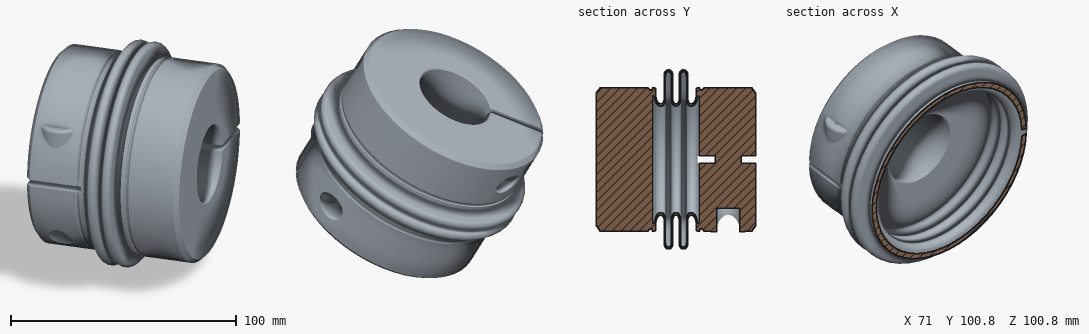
import cadquery as cq
import math


profile_plane = cq.Plane(origin=(0, 0, 0), xDir=(1, 0, 0), normal=(0, 1, 0))

half_length = 35.5
lobe_radius = 50.4

hub_radius = 89.0 / 2
hub_chamfer = 2.0
bore_radius = 17.4
bore_chamfer = 0.5
hub_inner_face = 10.2

groove_start = 12.5
groove_chamfer_end = 11.8
groove_end = 10.6
groove_radius = 43.9
groove_sag = 0.15

flange_seam = 9.6
collar_radius = 88.6 / 2
wall = 0.8
lobe_round = 2.0
lobe_pitch = 6.7
lobe_x = lobe_pitch / 2
trough_radius = 39.6
trough_round = lobe_pitch / 2 - lobe_round
end_trough_x = lobe_x + lobe_round + trough_round
end_round = flange_seam - wall - end_trough_x

screw_x = -23.1
screw_y = -32.1
head_radius = 18.0 / 2
head_top = 25.2
head_height = 12.0
head_fillet = 1.3
socket_flats = 10.0
socket_depth = 6.0
shank_radius = 12.0 / 2
thread_hole_radius = 10.2 / 2
thread_hole_top = -21.8
slot_width = 3.0


def add_arc(path, center_x, center_r, radius, start_deg, end_deg):
    """Continue a profile with an arc about a center; the path already stands at its start."""
    def point(degrees):
        angle = math.radians(degrees)
        return (center_x + radius * math.cos(angle), center_r + radius * math.sin(angle))

    return path.threePointArc(point((start_deg + end_deg) / 2), point(end_deg))


def add_bellows(path, inset):
    """Continue a profile over the corrugations, from -X to +X, set in by `inset` from the skin."""
    lobe = lobe_round - inset
    trough = trough_round + inset
    end = end_round + inset
    lobe_center_r = lobe_radius - lobe_round
    trough_center_r = trough_radius + trough_round
    end_center_r = trough_radius + end_round
    end_face = end_trough_x + end

    path = path.lineTo(-end_face, end_center_r)
    path = add_arc(path, -end_trough_x, end_center_r, end, 180, 270)
    path = add_arc(path, -end_trough_x, trough_center_r, trough, 270, 360)
    for x in (-lobe_x, lobe_x):
        path = path.lineTo(x - lobe, lobe_center_r)
        path = add_arc(path, x, lobe_center_r, lobe, 180, 0)
        path = path.lineTo(x + lobe, trough_center_r)
        if x < 0:
            path = add_arc(path, 0, trough_center_r, trough, 180, 360)
    path = add_arc(path, end_trough_x, trough_center_r, trough, 180, 270)
    return add_arc(path, end_trough_x, end_center_r, end, 270, 360)


def revolve_about_x(path):
    return path.close().revolve(360, (0, 0, 0), (1, 0, 0))


def outer_body():
    groove_mid_x = (groove_chamfer_end + groove_end) / 2
    groove_bottom = groove_radius - groove_sag
    path = (
        cq.Workplane(profile_plane)
        .moveTo(-half_length, 0)
        .lineTo(-half_length, hub_radius - hub_chamfer)
        .lineTo(-half_length + hub_chamfer, hub_radius)
        .lineTo(-groove_start, hub_radius)
        .lineTo(-groove_chamfer_end, groove_radius)
        .threePointArc((-groove_mid_x, groove_bottom), (-groove_end, groove_radius))
        .lineTo(-groove_end, hub_radius)
        .lineTo(-flange_seam, hub_radius)
        .lineTo(-flange_seam, collar_radius)
        .lineTo(wall - flange_seam, collar_radius)
    )
    path = (
        add_bellows(path, 0)
        .lineTo(flange_seam - wall, collar_radius)
        .lineTo(flange_seam, collar_radius)
        .lineTo(flange_seam, hub_radius)
        .lineTo(groove_end, hub_radius)
        .lineTo(groove_end, groove_radius)
        .threePointArc((groove_mid_x, groove_bottom), (groove_chamfer_end, groove_radius))
        .lineTo(groove_start, hub_radius)
        .lineTo(half_length - hub_chamfer, hub_radius)
        .lineTo(half_length, hub_radius - hub_chamfer)
        .lineTo(half_length, 0)
    )
    return revolve_about_x(path)


def inner_cavity():
    """Space inside the bellows, between the inner faces of the two hubs."""
    cavity_radius = trough_radius + end_round
    path = cq.Workplane(profile_plane).moveTo(-hub_inner_face, 0).lineTo(-hub_inner_face, cavity_radius)
    path = add_bellows(path, wall).lineTo(hub_inner_face, cavity_radius).lineTo(hub_inner_face, 0)
    return revolve_about_x(path)


def bore():
    mouth_radius = bore_radius + bore_chamfer
    path = (
        cq.Workplane(profile_plane)
        .moveTo(-half_length, 0)
        .lineTo(-half_length, mouth_radius)
        .lineTo(bore_chamfer - half_length, bore_radius)
        .lineTo(half_length - bore_chamfer, bore_radius)
        .lineTo(half_length, mouth_radius)
        .lineTo(half_length, 0)
    )
    return revolve_about_x(path)


def cylinder_at_screw(radius, bottom, top):
    return (
        cq.Workplane("XY", origin=(screw_x, screw_y, bottom))
        .circle(radius)
        .extrude(top - bottom)
    )


def clamp_slot():
    slot_length = half_length - flange_seam
    corner = cq.Workplane("XY", origin=(-half_length, -hub_radius, 0))
    return corner.box(slot_length, hub_radius, slot_width, centered=(False, False, True))


def screw_head():
    """Part of the socket head standing proud of the hub rim; its socket is filled inside the rim."""
    head = cylinder_at_screw(head_radius, head_top - head_height, head_top)
    head = head.faces(">Z").edges().fillet(head_fillet)
    socket = (
        cq.Workplane("XY", origin=(screw_x, screw_y, head_top))
        .transformed(rotate=(0, 0, 90))
        .polygon(6, socket_flats / math.cos(math.pi / 6))
        .extrude(-socket_depth)
    )
    return head.cut(socket)


def at_both_hubs(feature):
    """The +X hub is the -X hub turned half a turn about Z."""
    return feature.union(feature.rotate((0, 0, 0), (0, 0, 1), 180))


shank = cylinder_at_screw(shank_radius, -slot_width, slot_width)
thread_hole = cylinder_at_screw(thread_hole_radius, -hub_radius, thread_hole_top)

result = outer_body().cut(inner_cavity()).cut(bore())
result = result.cut(at_both_hubs(thread_hole))
result = result.cut(at_both_hubs(clamp_slot()))
result = result.union(at_both_hubs(shank))
result = result.union(at_both_hubs(screw_head()))